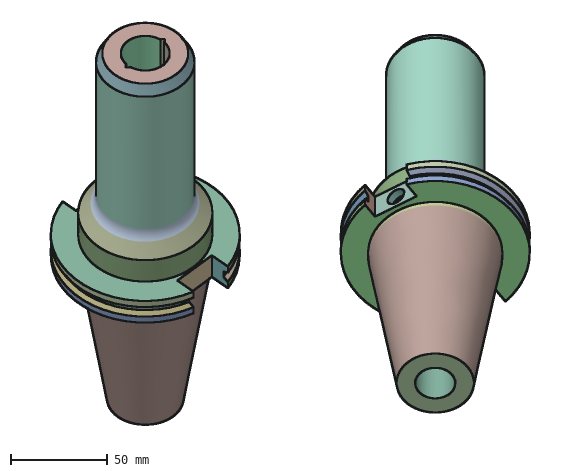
import cadquery as cq
import math


overall_length = 254.0
taper_length = 101.5
gauge_radius = 69.8 / 2
taper_rate = 7 / 24
taper_end_radius = gauge_radius - taper_length * taper_rate / 2

flange_radius = 98.3 / 2
flange_gap = 3.0
flange_thickness = 16.0
flange_bottom = taper_length + flange_gap
flange_top = flange_bottom + flange_thickness
flange_middle = flange_bottom + flange_thickness / 2
groove_depth = 3.0
groove_floor_width = 3.5
groove_flank_angle = 30.0
groove_floor_radius = flange_radius - groove_depth
groove_mouth_width = groove_floor_width + 2 * groove_depth * math.tan(math.radians(groove_flank_angle))

collar_height = 15.7
collar_top = flange_top + collar_height
cone_height = 6.9
cone_width = 6.5
blend_height = 6.5
cone_top = collar_top + cone_height
cone_top_radius = gauge_radius - cone_width
blend_top = cone_top + blend_height

nose_radius = 25.7
nose_bevel_height = 6.4
nose_bevel_width = 3.3

slot_width = 25.7
slot_floor_left = 37.8
slot_floor_right = 35.8
dimple_diameter = 10.2
dimple_depth = 5.0

through_diameter = 20.8
tool_bore_radius = 12.7
tool_bore_depth = 76.2
channel_radius = 1.3
channel_reach = 14.2


def turned_body():
    """Solid of revolution; the blend arc is tangent to the nose cylinder."""
    blend_step = cone_top_radius - nose_radius
    blend_radius = (blend_height**2 + blend_step**2) / (2 * blend_step)
    return (
        cq.Workplane("XZ")
        .moveTo(0, 0)
        .lineTo(taper_end_radius, 0)
        .lineTo(gauge_radius, taper_length)
        .lineTo(gauge_radius, flange_bottom)
        .lineTo(flange_radius, flange_bottom)
        .lineTo(flange_radius, flange_middle - groove_mouth_width / 2)
        .lineTo(groove_floor_radius, flange_middle - groove_floor_width / 2)
        .lineTo(groove_floor_radius, flange_middle + groove_floor_width / 2)
        .lineTo(flange_radius, flange_middle + groove_mouth_width / 2)
        .lineTo(flange_radius, flange_top)
        .lineTo(gauge_radius, flange_top)
        .lineTo(gauge_radius, collar_top)
        .lineTo(cone_top_radius, cone_top)
        .radiusArc((nose_radius, blend_top), blend_radius)
        .lineTo(nose_radius, overall_length - nose_bevel_height)
        .lineTo(nose_radius - nose_bevel_width, overall_length)
        .lineTo(0, overall_length)
        .close()
        .revolve(360, (0, 0, 0), (0, 1, 0))
    )


def drive_slot(side, floor_distance):
    """Cutter for one slot through the flange; side is -1 for -X and +1 for +X."""
    return (
        cq.Workplane("XY")
        .box(flange_radius, slot_width, flange_thickness)
        .translate((side * (floor_distance + flange_radius / 2), 0, flange_middle))
    )


def dimple():
    """Blind round hole in the floor of the -X slot."""
    return (
        cq.Workplane("YZ", origin=(-slot_floor_left, 0, flange_middle))
        .circle(dimple_diameter / 2)
        .extrude(dimple_depth)
    )


def bores():
    """Through hole, wider tool bore from the top and two channels at -Y and +Y."""
    through_hole = cq.Workplane("XY").circle(through_diameter / 2).extrude(overall_length)
    bore_floor = cq.Workplane("XY", origin=(0, 0, overall_length - tool_bore_depth))
    tool_bore = bore_floor.circle(tool_bore_radius).extrude(tool_bore_depth)
    channels = bore_floor.slot2D(2 * channel_reach, 2 * channel_radius, 90).extrude(tool_bore_depth)
    return through_hole.union(tool_bore).union(channels)


result = (
    turned_body()
    .cut(drive_slot(-1, slot_floor_left))
    .cut(drive_slot(1, slot_floor_right))
    .cut(dimple())
    .cut(bores())
)